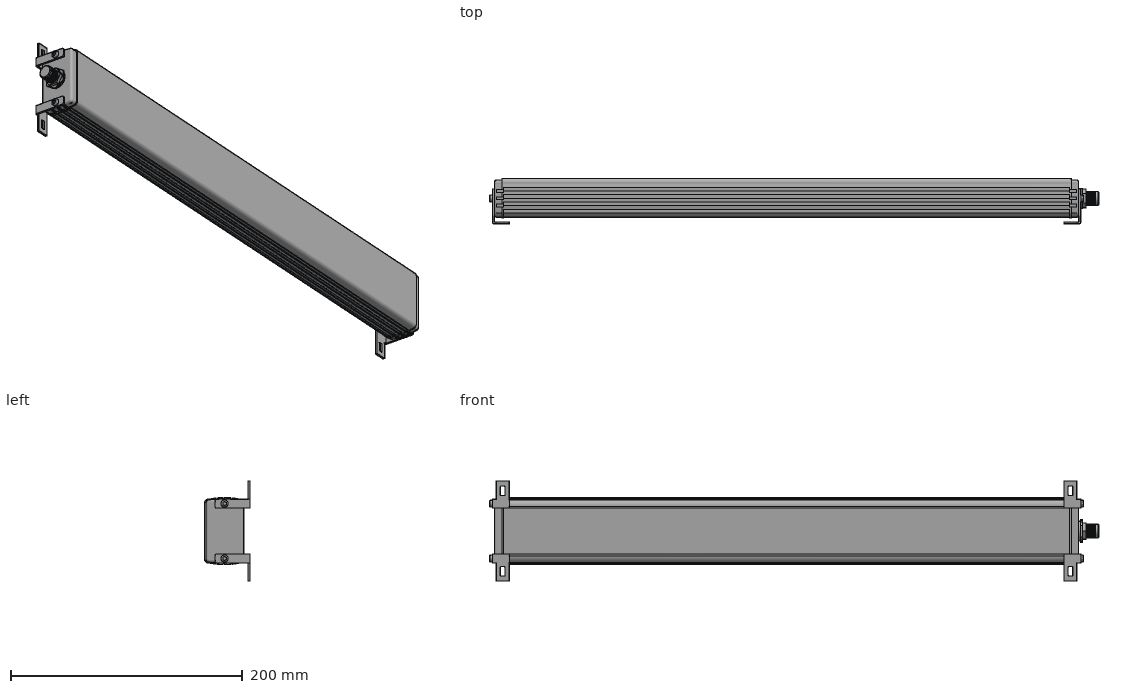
import cadquery as cq
import math


housing_half_length = 244.0
rear_y = 19.65
front_y = -14.0
rear_corner_y = 15.0
front_corner_y = -10.3
rear_half_height = 24.5
shoulder_half_height = 27.65
crown_half_height = 29.0
front_half_height = 21.3
corner_bulge = 0.8

groove_count = 4
groove_pitch = 6.32
groove_width = groove_pitch / 2
groove_depth = 1.0
first_groove_y = 10.3

window_half_height = 19.7
frame_groove_width = front_half_height - window_half_height
frame_groove_depth = 1.0

bracket_thickness = 1.8
bracket_outer_x = 253.8

collar_length = 1.6
collar_step = 0.5
cap_outer_x = bracket_outer_x - bracket_thickness
cap_inset = 1.4
cap_edge_radius = 2.0
cap_inner_x = housing_half_length + collar_length
channel_count = groove_count - 1
channel_width = 2.4
channel_depth = cap_inset + groove_depth
first_channel_y = first_groove_y - groove_pitch / 4
channel_outer_x = cap_outer_x - cap_edge_radius

bracket_front_y = -19.65
leg_rear_y = 10.5
leg_inner_z = 19.7
leg_outer_z = 27.65
leg_corner_radius = 1.5
bend_radius = 1.5
ear_inner_x = 239.2
ear_outer_x = 250.5
ear_tip_z = 43.25
slot_width = 3.8
slot_length = 8.0
slot_corner_radius = 0.4
slot_z = 34.7

fastener_y = 2.3
screw_z = (leg_inner_z + leg_outer_z) / 2
screw_diameter = 6.2
screw_tip_x = 256.2
screw_edge_radius = 1.2
screw_socket_width = 3.0
screw_socket_depth = 1.2

connector_base_diameter = 17.4
connector_base_x = 253.6
flange_nut_flats = 17.4
flange_nut_x = 255.2
lock_nut_flats = 14.2
lock_nut_x = 258.3
thread_diameter = 12.0
thread_pitch = 1.6
thread_depth = 0.5
connector_tip_x = 269.45
connector_tip_chamfer = 0.8


def section(start_x, length, inset=0.0, front_extra=0.0):
    """Housing section, shrunk by inset or lengthened at the front, extruded along +X."""
    rear = rear_y - inset
    front = front_y - front_extra
    rear_half = rear_half_height - inset / 2
    shoulder = shoulder_half_height - inset / 2
    crown = crown_half_height - inset
    crown_y = (rear_corner_y + front_corner_y) / 2
    rear_mid = (
        (rear + rear_corner_y) / 2 + corner_bulge,
        (rear_half + shoulder) / 2 + corner_bulge,
    )
    front_mid = (
        (front + front_corner_y) / 2 - corner_bulge,
        (front_half_height + shoulder) / 2 + corner_bulge,
    )
    return (
        cq.Workplane("YZ", origin=(start_x, 0, 0))
        .moveTo(rear, -rear_half)
        .lineTo(rear, rear_half)
        .threePointArc(rear_mid, (rear_corner_y, shoulder))
        .threePointArc((crown_y, crown), (front_corner_y, shoulder))
        .threePointArc(front_mid, (front, front_half_height))
        .lineTo(front, -front_half_height)
        .threePointArc((front_mid[0], -front_mid[1]), (front_corner_y, -shoulder))
        .threePointArc((crown_y, -crown), (rear_corner_y, -shoulder))
        .threePointArc((rear_mid[0], -rear_mid[1]), (rear, -rear_half))
        .close()
        .extrude(length)
    )


def side_height(y):
    """Half height of the crowned side at the given y."""
    half_chord = (rear_corner_y - front_corner_y) / 2
    rise = crown_half_height - shoulder_half_height
    radius = (half_chord ** 2 + rise ** 2) / (2 * rise)
    offset = y - (rear_corner_y + front_corner_y) / 2
    return crown_half_height - radius + math.sqrt(radius ** 2 - offset ** 2)


def x_cylinder(start_x, end_x, diameter, y, z):
    return (
        cq.Workplane("YZ", origin=(start_x, y, z))
        .circle(diameter / 2)
        .extrude(end_x - start_x)
    )


def cut_side_grooves(body, start_x, length, first_y, count, width, depth):
    """Cut a row of grooves along X into the top and bottom of the body."""
    for index in range(count):
        y = first_y - index * groove_pitch
        groove = (
            cq.Workplane("XY", origin=(start_x, y, side_height(y) - depth))
            .box(length, width, 2 * depth, centered=(False, True, False))
        )
        body = body.cut(groove).cut(groove.mirror("XY"))
    return body


def housing():
    length = 2 * housing_half_length
    body = section(-housing_half_length, length)
    body = cut_side_grooves(
        body,
        -housing_half_length,
        length,
        first_groove_y,
        groove_count,
        groove_width,
        groove_depth,
    )
    frame_groove = (
        cq.Workplane("XY", origin=(0, front_y, window_half_height))
        .box(length, 2 * frame_groove_depth, frame_groove_width, centered=(True, True, False))
    )
    return body.cut(frame_groove).cut(frame_groove.mirror("XY"))


def end_cap():
    """Collar and rounded end cap on the +X end, with channels across both."""
    collar = section(housing_half_length, collar_length, front_extra=collar_step)
    cap = section(cap_inner_x, cap_outer_x - cap_inner_x, inset=cap_inset)
    cap = cap.faces(">X").edges().fillet(cap_edge_radius)
    return cut_side_grooves(
        collar.union(cap),
        housing_half_length,
        channel_outer_x - housing_half_length,
        first_channel_y,
        channel_count,
        channel_width,
        channel_depth,
    )


def bracket():
    """Angle bracket and its screw at the +X, +Z corner."""
    leg_height = leg_outer_z - leg_inner_z
    leg_depth = leg_rear_y - bracket_front_y
    leg = (
        cq.Workplane("XY", origin=(cap_outer_x, bracket_front_y, leg_inner_z))
        .box(bracket_thickness, leg_depth, leg_height, centered=False)
        .edges(">Y and |X")
        .fillet(leg_corner_radius)
    )
    foot = (
        cq.Workplane("XY", origin=(ear_inner_x, bracket_front_y, leg_inner_z))
        .box(bracket_outer_x - ear_inner_x, bracket_thickness, leg_height, centered=False)
    )
    angle = leg.union(foot).edges(">X and <Y and |Z").fillet(bend_radius)
    ear = (
        cq.Workplane("XY", origin=(ear_inner_x, bracket_front_y, leg_inner_z))
        .box(ear_outer_x - ear_inner_x, bracket_thickness, ear_tip_z - leg_inner_z, centered=False)
    )
    slot = (
        cq.Workplane("XZ", origin=((ear_inner_x + ear_outer_x) / 2, bracket_front_y, slot_z))
        .rect(slot_width, slot_length)
        .extrude(bracket_thickness, both=True)
        .edges("|Y")
        .fillet(slot_corner_radius)
    )
    screw = x_cylinder(cap_outer_x, screw_tip_x, screw_diameter, fastener_y, screw_z)
    screw = screw.faces(">X").edges().fillet(screw_edge_radius)
    socket = (
        cq.Workplane("YZ", origin=(screw_tip_x - screw_socket_depth, fastener_y, screw_z))
        .polygon(6, screw_socket_width, circumscribed=True)
        .extrude(screw_socket_depth)
    )
    return angle.union(ear).cut(slot).union(screw).cut(socket)


def hexagon_nut(start_x, end_x, flats, turn):
    return (
        cq.Workplane("YZ", origin=(start_x, fastener_y, 0))
        .transformed(rotate=(0, 0, turn))
        .polygon(6, flats, circumscribed=True)
        .extrude(end_x - start_x)
    )


def connector():
    """Stepped cable connector: round base, two hexagonal nuts and a threaded end with ring grooves."""
    body = x_cylinder(cap_outer_x, connector_base_x, connector_base_diameter, fastener_y, 0)
    body = body.union(hexagon_nut(connector_base_x, flange_nut_x, flange_nut_flats, 0))
    body = body.union(hexagon_nut(flange_nut_x, lock_nut_x, lock_nut_flats, 90))
    thread = x_cylinder(lock_nut_x, connector_tip_x, thread_diameter, fastener_y, 0)
    thread = thread.faces(">X").edges().chamfer(connector_tip_chamfer)
    ring_count = int((connector_tip_x - lock_nut_x) / thread_pitch) - 1
    for index in range(ring_count):
        ring_x = lock_nut_x + (index + 0.5) * thread_pitch
        ring_end_x = ring_x + thread_pitch / 2
        ring = x_cylinder(ring_x, ring_end_x, thread_diameter + thread_depth, fastener_y, 0)
        core = x_cylinder(ring_x, ring_end_x, thread_diameter - 2 * thread_depth, fastener_y, 0)
        thread = thread.cut(ring.cut(core))
    return body.union(thread)


result = housing()
for end_part in (end_cap(), bracket(), bracket().mirror("XY")):
    result = result.union(end_part).union(end_part.mirror("YZ"))
result = result.union(connector())